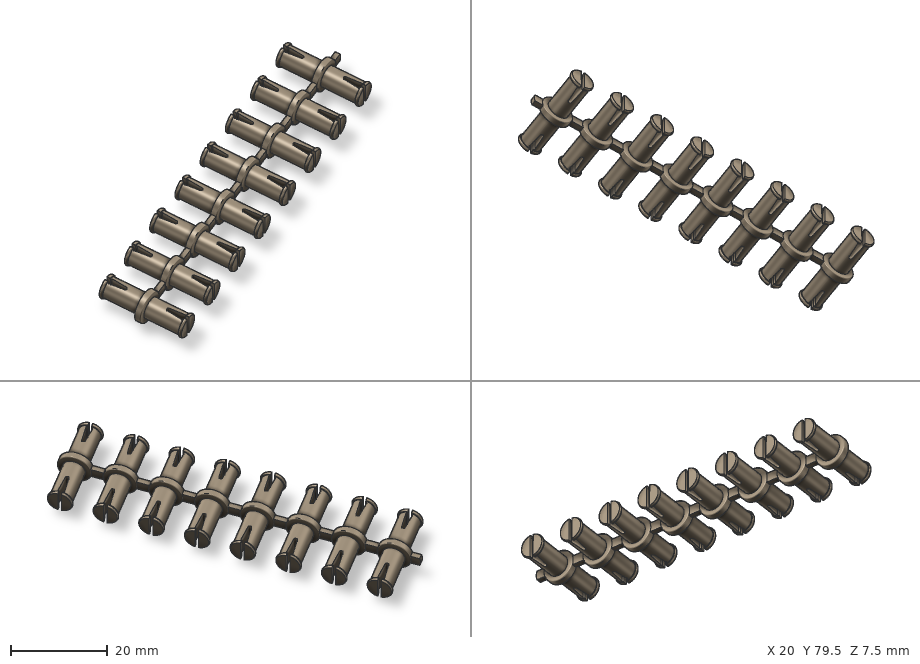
import cadquery as cq
import math

pin_count = 8
pin_length = 20.0
shaft_diameter = 4.9
shaft_radius = shaft_diameter / 2

rim_diameter = 5.6
rim_radius = rim_diameter / 2
rim_edge_radius = 2.6
rim_length = 0.8

slot_depth = 5.1
slot_mouth_width = 0.8
slot_mouth_length = 0.9
slot_wide_width = 1.4
slot_wide_start = 1.1
slot_waist_width = 1.0
slot_waist_start = 3.35
slot_end_width = 0.7
slot_end_fillet = 0.28

ring_diameter = 7.5
ring_width = 1.6
ring_fillet = 0.2
runner_thickness = 1.2
runner_height = 2.2
runner_end_radius = 2.8
runner_tail = 5.8
strip_length = 79.5

first_to_last_pin = strip_length - ring_diameter / 2 - runner_tail
pin_pitch = first_to_last_pin / (pin_count - 1)


def make_slot():
    """Split at the -X end of a pin, passing right through it along Z."""
    profile = [
        (0, slot_mouth_width),
        (slot_mouth_length, slot_mouth_width),
        (slot_wide_start, slot_wide_width),
        (slot_waist_start, slot_waist_width),
        (slot_depth, slot_end_width),
    ]
    upper_side = [(depth - pin_length / 2, width / 2) for depth, width in profile]
    lower_side = [(x, -y) for x, y in reversed(upper_side)]
    return (
        cq.Workplane("XY")
        .polyline(upper_side + lower_side)
        .close()
        .extrude(rim_radius, both=True)
        .edges("|Z and >X")
        .fillet(slot_end_fillet)
    )


def make_pin():
    """Solid pin centred on the origin, with a rim and a split at both ends."""
    end_x = pin_length / 2
    crest_x = end_x - rim_length / 2
    shaft_x = end_x - rim_length
    pin = (
        cq.Workplane("XY")
        .moveTo(-end_x, 0)
        .lineTo(-end_x, rim_edge_radius)
        .threePointArc((-crest_x, rim_radius), (-shaft_x, rim_edge_radius))
        .lineTo(-shaft_x, shaft_radius)
        .lineTo(shaft_x, shaft_radius)
        .lineTo(shaft_x, rim_edge_radius)
        .threePointArc((crest_x, rim_radius), (end_x, rim_edge_radius))
        .lineTo(end_x, 0)
        .close()
        .revolve(360, (0, 0, 0), (1, 0, 0))
    )
    slot = make_slot()
    return pin.cut(slot).cut(slot.mirror("YZ"))


def make_ring_blank():
    """Rounded disc, centred on the origin, that the pin hole is bored through."""
    return (
        cq.Workplane("YZ")
        .circle(ring_diameter / 2)
        .extrude(ring_width / 2, both=True)
        .edges("%CIRCLE")
        .fillet(ring_fillet)
    )


def make_strip(pin_places):
    """Runner from the first pin past the last one, with a bored ring at every pin."""
    tip_y = first_to_last_pin + runner_tail
    half_height = runner_height / 2
    shoulder_y = tip_y - runner_end_radius + math.sqrt(runner_end_radius**2 - half_height**2)
    strip = (
        cq.Workplane("YZ")
        .moveTo(0, -half_height)
        .lineTo(shoulder_y, -half_height)
        .threePointArc((tip_y, 0), (shoulder_y, half_height))
        .lineTo(0, half_height)
        .close()
        .extrude(runner_thickness / 2, both=True)
    )
    ring_blank = make_ring_blank()
    for y in pin_places:
        strip = strip.union(ring_blank.translate((0, y, 0)))
    pin_holes = (
        cq.Workplane("YZ")
        .pushPoints([(y, 0) for y in pin_places])
        .circle(shaft_radius)
        .extrude(ring_width, both=True)
    )
    return strip.cut(pin_holes)


pin_places = [i * pin_pitch for i in range(pin_count)]
strip = make_strip(pin_places)
pin = make_pin()
pins = [pin.translate((0, y, 0)) for y in pin_places]

result = cq.Compound.makeCompound([strip.val(), *[p.val() for p in pins]])